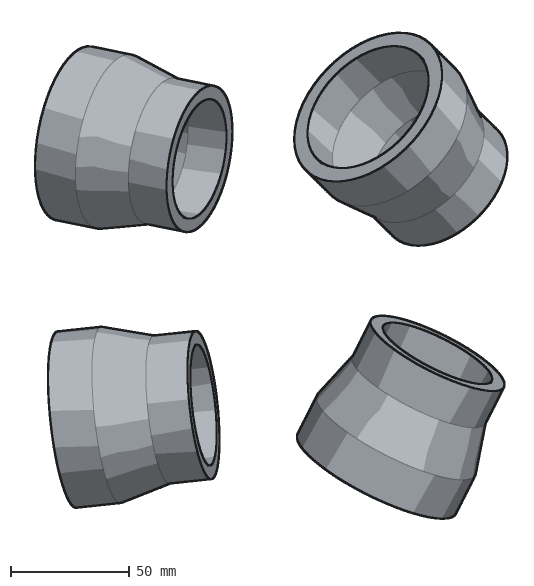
import cadquery as cq

large_outer_diameter = 75.0
large_bore_diameter = 61.4
small_outer_diameter = 63.0
small_bore_diameter = 51.4

total_length = 59.0
large_end_length = 19.05
small_end_length = 18.0
taper_end = total_length - small_end_length


def stepped_taper(large_diameter, small_diameter):
    """Solid of revolution: large cylinder, cone, then small cylinder."""
    large_radius = large_diameter / 2
    small_radius = small_diameter / 2
    return (
        cq.Workplane("XY")
        .moveTo(0, 0)
        .lineTo(0, large_radius)
        .lineTo(large_end_length, large_radius)
        .lineTo(taper_end, small_radius)
        .lineTo(total_length, small_radius)
        .lineTo(total_length, 0)
        .close()
        .revolve(360, (0, 0, 0), (1, 0, 0))
    )


outer_body = stepped_taper(large_outer_diameter, small_outer_diameter)
bore = stepped_taper(large_bore_diameter, small_bore_diameter)

result = outer_body.cut(bore)